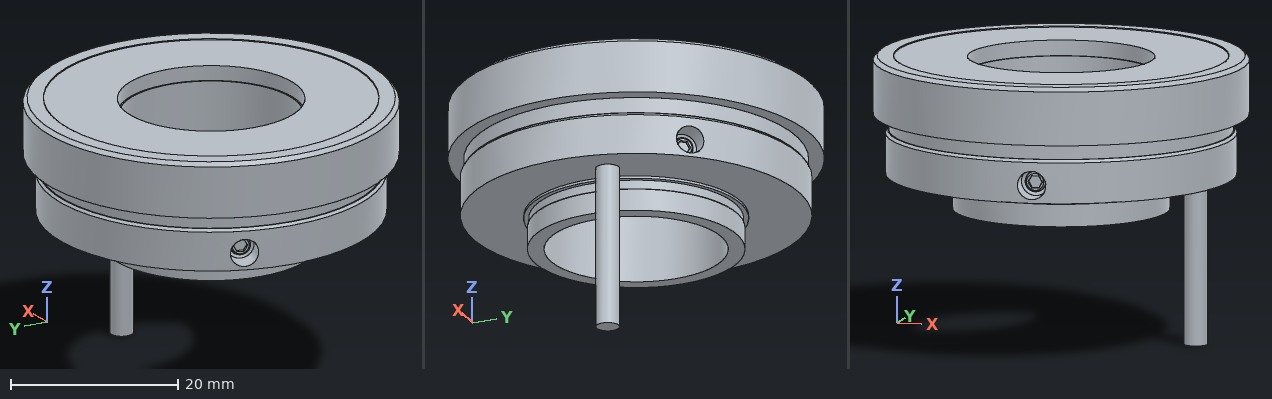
import cadquery as cq

rim_diameter = 45.0
rim_bottom = -7.0
rim_chamfer = 0.5
neck_diameter = 41.2
collar_diameter = 42.0
collar_top = -9.0
collar_bottom = -14.3
collar_chamfer_width = 0.25
collar_chamfer_height = 0.35
shoulder_diameter = 26.9
shoulder_bottom = -14.6
spigot_neck_diameter = 25.7
spigot_diameter = 26.0
spigot_top = -15.8
spigot_bottom = -18.55

face_recess_diameter = 40.1
face_recess_depth = 0.15
bore_diameter = 22.0
counterbore_diameter = 22.4
counterbore_depth = 2.02

pin_diameter = 2.9
pin_x = 16.05
pin_y = 2.85
pin_bottom = -34.55

screw_count = 3
first_screw_angle = 40.0
screw_z = -12.15
hole_diameter = 3.4
hole_floor_radius = 18.1
cone_end_diameter = 2.5
cone_end_radius = 17.85
screw_diameter = 2.47
screw_face_diameter = 2.05
screw_face_radius = 18.45
screw_chamfer = (screw_diameter - screw_face_diameter) / 2
hex_across_corners = 1.7
hex_depth = 0.45


def cylinder(diameter, bottom, top):
    """Upright cylinder on the main axis."""
    return cq.Workplane("XY").workplane(offset=bottom).circle(diameter / 2).extrude(top - bottom)


def make_body():
    rim = cylinder(rim_diameter, rim_bottom, 0).faces(">Z").chamfer(rim_chamfer)
    neck = cylinder(neck_diameter, collar_top, rim_bottom)
    collar = cylinder(collar_diameter, collar_bottom, collar_top)
    collar = collar.faces(">Z").chamfer(collar_chamfer_height, collar_chamfer_width)
    shoulder = cylinder(shoulder_diameter, shoulder_bottom, collar_bottom)
    spigot_neck = cylinder(spigot_neck_diameter, spigot_top, shoulder_bottom)
    spigot = cylinder(spigot_diameter, spigot_bottom, spigot_top)
    return rim.union(neck).union(collar).union(shoulder).union(spigot_neck).union(spigot)


def make_bore():
    """Face recess, counterbore and through bore as one cutter."""
    recess = cylinder(face_recess_diameter, -face_recess_depth, 0)
    counterbore = cylinder(counterbore_diameter, -counterbore_depth, 0)
    return recess.union(counterbore).union(cylinder(bore_diameter, spigot_bottom, 0))


def make_pin():
    pin = cq.Workplane("XY").workplane(offset=pin_bottom).center(pin_x, pin_y)
    return pin.circle(pin_diameter / 2).extrude(collar_bottom - pin_bottom)


def radial_plane(radius):
    """Workplane facing +X at the given distance from the main axis."""
    return cq.Workplane("YZ").workplane(offset=radius)


def make_screw_pocket(angle):
    """Space around a chamfered set screw with a hexagon socket, in a radial hole with a conical floor."""
    hole = radial_plane(hole_floor_radius).circle(hole_diameter / 2)
    hole = hole.extrude(rim_diameter / 2 - hole_floor_radius)
    cone = radial_plane(cone_end_radius).circle(cone_end_diameter / 2)
    cone = cone.workplane(offset=hole_floor_radius - cone_end_radius).circle(hole_diameter / 2).loft()
    screw = radial_plane(cone_end_radius).circle(screw_diameter / 2)
    screw = screw.extrude(screw_face_radius - cone_end_radius).faces(">X").chamfer(screw_chamfer)
    socket = radial_plane(screw_face_radius - hex_depth)
    socket = socket.polygon(6, hex_across_corners).extrude(hex_depth)
    pocket = hole.union(cone).cut(screw).union(socket)
    return pocket.translate((0, 0, screw_z)).rotate((0, 0, 0), (0, 0, 1), angle)


result = make_body().cut(make_bore()).union(make_pin())
for index in range(screw_count):
    result = result.cut(make_screw_pocket(first_screw_angle + index * 360 / screw_count))